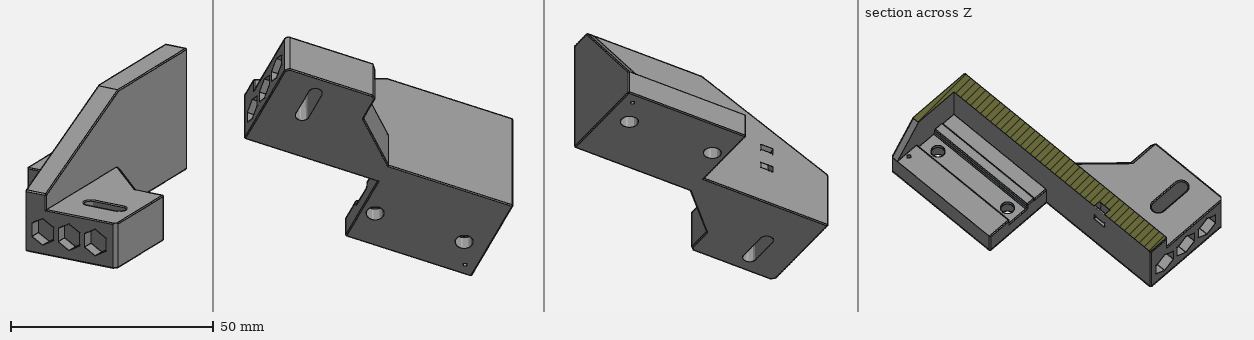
import cadquery as cq
import math

width = 46.0
length = 70.0
height = 32.0

edge_break = 0.3
pick_margin = 0.1

wall_left = 20.0
wall_right = 26.0
wall_front_height = 16.0
shelf_length = 34.0
shelf_front = length - shelf_length

shelf_height = 6.6
groove_left = 7.0
groove_right = 13.15
groove_floor = 4.9
ledge_left = 16.0
ledge_height = 6.1

shelf_hole_diameter = 3.4
shelf_hole_x = 10.0
shelf_hole_back_offset = 6.3
shelf_hole_spacing = 24.0
insert_diameter = 4.4
insert_depth = 3.9
pin_hole_diameter = 1.0
pin_hole_x = 3.1
pin_hole_back_offset = 3.0

gusset_thickness = 2.0

block_height = 12.0
block_length = 24.35
block_bevel = 1.0
diagonal_end = 38.0

slot_x = 37.0
slot_y = 10.0
slot_width = 3.4
slot_length = 11.5

hex_across_flats = 6.1
hex_depth = 3.2
hex_first_x = 25.0
hex_spacing = 7.5
hex_count = 3
hex_z = block_height / 2

tie_y = 17.8
tie_z = 14.0
tie_width = 3.5
tie_centre_offset = 1.5
tie_inner_radius = 2.5
tie_outer_radius = 3.9


def edges_near(solid, x_range, y_range, z_range):
    """Edges whose midpoints lie inside the given ranges, widened by the pick margin."""
    ranges = (x_range, y_range, z_range)
    low = [start - pick_margin for start, end in ranges]
    high = [end + pick_margin for start, end in ranges]
    return solid.edges(cq.selectors.BoxSelector(low, high)).vals()


def make_wall():
    profile = [
        (0, 0),
        (length, 0),
        (length, height),
        (shelf_front, height),
        (0, wall_front_height),
    ]
    wall = cq.Workplane("YZ", origin=(wall_left, 0, 0)).polyline(profile).close()
    return wall.extrude(wall_right - wall_left)


def make_shelf():
    profile = [
        (0, 0),
        (wall_left, 0),
        (wall_left, ledge_height),
        (ledge_left, ledge_height),
        (ledge_left, shelf_height - edge_break),
        (ledge_left - edge_break, shelf_height),
        (groove_right + edge_break, shelf_height),
        (groove_right, shelf_height - edge_break),
        (groove_right, groove_floor + edge_break),
        (groove_right - edge_break, groove_floor),
        (groove_left, groove_floor),
        (groove_left, shelf_height - edge_break),
        (groove_left - edge_break, shelf_height),
        (0, shelf_height),
    ]
    shelf = cq.Workplane("XZ", origin=(0, length, 0)).polyline(profile).close()
    return shelf.extrude(shelf_length)


def make_gusset():
    profile = [(0, 0), (wall_left, 0), (wall_left, height), (0, shelf_height)]
    gusset = cq.Workplane("XZ", origin=(0, length, 0)).polyline(profile).close()
    return gusset.extrude(gusset_thickness)


def make_block():
    diagonal_start_y = block_length + diagonal_end - wall_right
    outline = [
        (wall_right, 0),
        (width, 0),
        (width, block_length),
        (diagonal_end, block_length),
        (wall_right, diagonal_start_y),
    ]
    block = cq.Workplane("XY").polyline(outline).close().extrude(block_height)
    block = block.edges("|Z and >X").chamfer(block_bevel)
    rear_top_edges = edges_near(
        block,
        (wall_right, width - block_bevel),
        (block_length, diagonal_start_y),
        (block_height, block_height),
    )
    return block.newObject(rear_top_edges).chamfer(block_bevel)


def make_slot():
    slot = cq.Workplane("XY", origin=(slot_x, slot_y, 0)).slot2D(slot_length, slot_width)
    slot = slot.extrude(block_height)
    flare = cq.Workplane("XY", origin=(slot_x, slot_y, block_height))
    flare = flare.slot2D(slot_length + 2 * edge_break, slot_width + 2 * edge_break)
    return slot.union(flare.extrude(-edge_break, taper=45))


def make_hex_pockets():
    corner_radius = hex_across_flats / 2 / math.cos(math.radians(30))
    corner_angles = [math.radians(30 + 60 * i) for i in range(6)]
    corners = [(corner_radius * math.cos(a), corner_radius * math.sin(a)) for a in corner_angles]
    pockets = cq.Workplane("XZ")
    for i in range(hex_count):
        centre = (hex_first_x + i * hex_spacing, 0, hex_z)
        pocket = cq.Workplane("XZ", origin=centre).polyline(corners).close().extrude(-hex_depth)
        pockets = pockets.add(pocket)
    return pockets.combine()


def make_tie_channel():
    return (
        cq.Workplane("XZ", origin=(wall_left - tie_centre_offset, tie_y + tie_width / 2, tie_z))
        .circle(tie_outer_radius)
        .circle(tie_inner_radius)
        .extrude(tie_width)
    )


def make_shelf_holes():
    rear_y = length - shelf_hole_back_offset
    centres = [(shelf_hole_x, rear_y), (shelf_hole_x, rear_y - shelf_hole_spacing)]
    holes = cq.Workplane("XY").pushPoints(centres).circle(shelf_hole_diameter / 2).extrude(shelf_height)
    inserts = cq.Workplane("XY").pushPoints(centres).circle(insert_diameter / 2).extrude(insert_depth)
    pin_hole = cq.Workplane("XY", origin=(pin_hole_x, length - pin_hole_back_offset, 0))
    pin_hole = pin_hole.circle(pin_hole_diameter / 2).extrude(shelf_height)
    return holes.union(inserts).union(pin_hole)


def break_edges(body):
    whole_x = (0, width)
    whole_y = (0, length)
    whole_z = (0, height)
    front = edges_near(body, (wall_left, width - 2 * block_bevel), (0, 0), whole_z)
    back = edges_near(body, whole_x, (length, length), whole_z)
    base = edges_near(body, whole_x, whole_y, (0, 0))
    shelf_end_x = (0, wall_left - 2 * pick_margin)
    shelf_end = edges_near(body, shelf_end_x, (shelf_front, shelf_front), whole_z)
    upper_z = (wall_front_height, height)
    wall_top_right = edges_near(body, (wall_right, wall_right), whole_y, upper_z)
    slope_y = (0, shelf_front)
    wall_slope_left = edges_near(body, (wall_left, wall_left), slope_y, upper_z)
    block_top_right = edges_near(body, (width, width), (0, block_length), (block_height, block_height))
    groups = [front, back, base, shelf_end, wall_top_right, wall_slope_left, block_top_right]
    chosen = {edge.hashCode(): edge for group in groups for edge in group}
    return body.newObject(list(chosen.values())).chamfer(edge_break)


body = make_wall().union(make_shelf()).union(make_gusset()).union(make_block()).clean()
body = break_edges(body)
for cutter in (make_slot(), make_hex_pockets(), make_tie_channel(), make_shelf_holes()):
    body = body.cut(cutter)
result = body